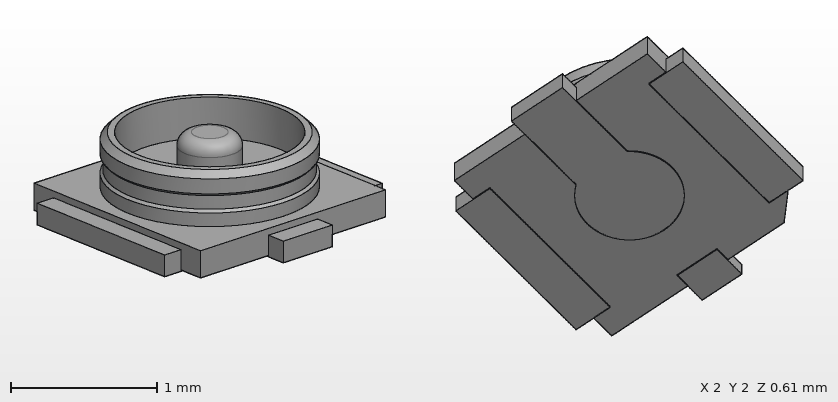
import cadquery as cq

overall_span = 2.0
standoff = 0.01

base_side = 1.7
base_thickness = 0.2
corner_cut = 0.18
base_top = standoff + base_thickness

shell_diameter = 1.5
groove_diameter = 1.46
bore_diameter = 1.3
shell_height = 0.4
rim_chamfer = 0.05
groove_offset = 0.1
groove_width = 0.14
groove_bottom = base_top + groove_offset
groove_top = groove_bottom + groove_width
floor_height = 0.1
shell_top = base_top + shell_height

pin_diameter = 0.45
pin_edge_radius = 0.1
pin_top = shell_top

ground_width = 1.3
ground_height = 0.16
ground_inner_edge = 0.7

left_width = 0.35
left_height = 0.11
left_inner_edge = 0.73

signal_width = 0.45
signal_height = 0.16
pad_diameter = 0.75


def block(x_min, x_max, y_min, y_max, height):
    """Box standing on the Z = 0 mounting plane."""
    return (
        cq.Workplane("XY")
        .box(x_max - x_min, y_max - y_min, height, centered=False)
        .translate((x_min, y_min, 0))
    )


def make_base():
    """Square slab with the corner at -X, +Y cut off."""
    return (
        cq.Workplane("XY")
        .workplane(offset=standoff)
        .rect(base_side, base_side)
        .extrude(base_thickness)
        .edges("|Z and <X and >Y")
        .chamfer(corner_cut)
    )


def make_shell():
    """Revolved ring with a closed floor, a chamfered rim and a sloped-wall groove."""
    outer = shell_diameter / 2
    groove = groove_diameter / 2
    bore = bore_diameter / 2
    slope = outer - groove
    floor = base_top + floor_height
    profile = [
        (0, base_top),
        (outer, base_top),
        (outer, groove_bottom),
        (groove, groove_bottom + slope),
        (groove, groove_top - slope),
        (outer, groove_top),
        (outer, shell_top - rim_chamfer),
        (outer - rim_chamfer, shell_top),
        (bore, shell_top),
        (bore, floor),
        (0, floor),
    ]
    return cq.Workplane("XZ").polyline(profile).close().revolve(360, (0, 0), (0, 1))


def make_pin():
    """Round pin with a rounded top edge."""
    return (
        cq.Workplane("XY")
        .workplane(offset=base_top)
        .circle(pin_diameter / 2)
        .extrude(pin_top - base_top)
        .faces(">Z")
        .edges()
        .fillet(pin_edge_radius)
    )


def make_ground_contact(side):
    """Wide contact on the +Y side (side = 1) or the -Y side (side = -1)."""
    y_min, y_max = sorted((side * ground_inner_edge, side * overall_span / 2))
    return block(-ground_width / 2, ground_width / 2, y_min, y_max, ground_height)


def make_left_contact():
    """Low contact on the -X side."""
    return block(-overall_span / 2, -left_inner_edge, -left_width / 2, left_width / 2, left_height)


def make_signal_contact():
    """Tab on the +X side joined to the round pad under the base centre."""
    pad = cq.Workplane("XY").circle(pad_diameter / 2).extrude(signal_height)
    tab = block(0, overall_span / 2, -signal_width / 2, signal_width / 2, signal_height)
    return pad.union(tab)


result = make_base().union(make_shell()).union(make_pin())
for y_side in (1, -1):
    result = result.union(make_ground_contact(y_side))
result = result.union(make_left_contact()).union(make_signal_contact())